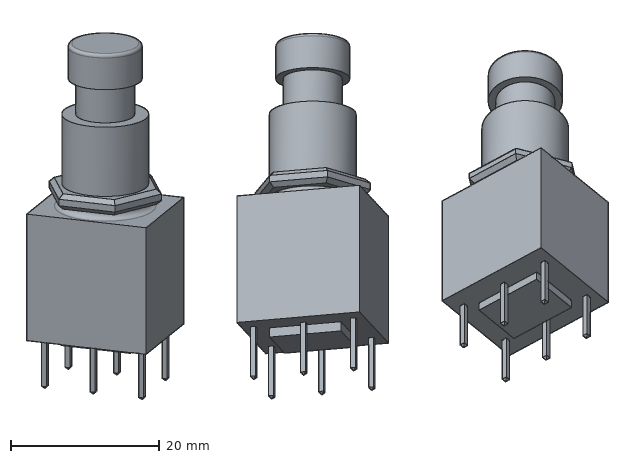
import cadquery as cq

total_height = 48.3
body_bottom = 7.4
body_top = 25.3
nut_bottom = 26.3
nut_top = 28.5
bushing_top = 38.3
cap_bottom = 43.33

body_length = 17.2
body_width = 14.4
pad_length = 10.0
pad_width = 7.45
pad_height = 1.3

bushing_diameter = 11.75
flare_radius = 0.95
nut_across_flats = 14.0
nut_chamfer = 0.65

stem_diameter = 7.95
cap_diameter = 10.0
cap_fillet = 0.5

pin_size = 0.72
pin_pitch_x = 7.0
pin_pitch_y = 9.0
pin_columns = 3
pin_rows = 2
pin_tip_height = 0.4
overlap = 0.5


def cylinder(diameter, bottom, top):
    """Vertical cylinder on the part axis."""
    return cq.Workplane("XY").workplane(offset=bottom).circle(diameter / 2).extrude(top - bottom)


def box(length, width, bottom, top):
    """Rectangular block centred on the part axis."""
    return cq.Workplane("XY").workplane(offset=bottom).rect(length, width).extrude(top - bottom)


def make_housing():
    body = box(body_length, body_width, body_bottom, body_top)
    pad = box(pad_length, pad_width, body_bottom - pad_height, body_bottom)
    return body.union(pad)


def make_bushing():
    """Cylinder with a concave flare where it meets the housing."""
    radius = bushing_diameter / 2
    arc_centre = (radius + flare_radius, body_top + flare_radius)
    arc_offset = flare_radius / 2**0.5
    return (
        cq.Workplane("XZ")
        .moveTo(0, body_top)
        .lineTo(radius + flare_radius, body_top)
        .threePointArc(
            (arc_centre[0] - arc_offset, arc_centre[1] - arc_offset),
            (radius, body_top + flare_radius),
        )
        .lineTo(radius, bushing_top)
        .lineTo(0, bushing_top)
        .close()
        .revolve(360, (0, 0, 0), (0, 1, 0))
    )


def make_nut():
    """Hexagon with corners on the X axis, chamfered on both faces."""
    across_corners = nut_across_flats * 2 / 3**0.5
    return (
        cq.Workplane("XY")
        .workplane(offset=nut_bottom)
        .polygon(6, across_corners)
        .extrude(nut_top - nut_bottom)
        .faces("<Z or >Z")
        .edges()
        .chamfer(nut_chamfer)
    )


def make_button():
    stem = cylinder(stem_diameter, bushing_top, cap_bottom)
    cap = cylinder(cap_diameter, cap_bottom, total_height).faces(">Z").edges().fillet(cap_fillet)
    return stem.union(cap)


def make_pin():
    """Square pin ending in a pyramid point at height zero."""
    shaft = box(pin_size, pin_size, pin_tip_height, body_bottom + overlap)
    half = pin_size / 2
    base = [(-half, -half), (half, -half), (half, half), (-half, half)]
    corners = [cq.Vector(x, y, pin_tip_height) for x, y in base]
    apex = cq.Vector(0, 0, 0)
    faces = [cq.Face.makeFromWires(cq.Wire.makePolygon(corners, close=True))]
    for index, corner in enumerate(corners):
        side = cq.Wire.makePolygon([corners[index - 1], corner, apex], close=True)
        faces.append(cq.Face.makeFromWires(side))
    point = cq.Solid.makeSolid(cq.Shell.makeShell(faces))
    return shaft.union(cq.Workplane(point))


result = make_housing().union(make_bushing()).union(make_nut()).union(make_button())

pin = make_pin()
for column in range(pin_columns):
    for row in range(pin_rows):
        pin_x = (column - (pin_columns - 1) / 2) * pin_pitch_x
        pin_y = (row - (pin_rows - 1) / 2) * pin_pitch_y
        result = result.union(pin.translate((pin_x, pin_y, 0)))